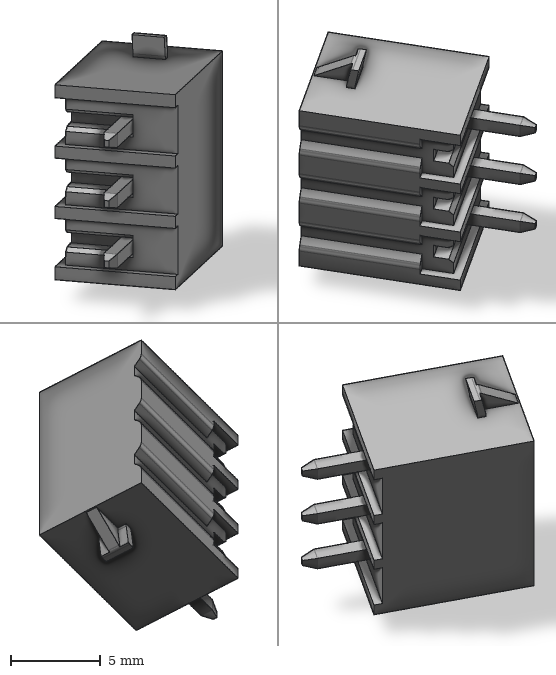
import cadquery as cq
import math


body_width = 7.0
body_depth = 9.23
body_height = 11.31
pin_count = 3
pin_pitch = 3.5
left_face = -body_width / 2
front_face = -body_depth
bay_centres = [(i - (pin_count - 1) / 2) * pin_pitch for i in range(pin_count)]

divider_thickness = 0.7
bay_height = pin_pitch - divider_thickness
bay_depth = 0.49
bay_floor = front_face + bay_depth
corner_notch_depth = 2.31

groove_depth = 0.48
groove_floor_width = 0.69
groove_wall_angle = math.radians(42)
groove_lip_radius = 0.5

pin_width = 0.77
pin_height = 0.81
pin_right_side = 0.9
pin_tip_y = -12.6
pin_taper_length = 0.8
pin_tip_width = 0.27
pin_tip_height = 0.39
pin_x = pin_right_side - pin_width / 2
slot_height = 0.84
slot_floor = front_face + 1.64
slot_chamfer_height = 0.22
slot_chamfer_depth = 0.28

overall_height = 14.0
latch_height = (overall_height - body_height) / 2
latch_wall_width = 1.88
latch_wall_thickness = 0.48
latch_wall_back = -2.11
latch_wall_lean = 0.21
latch_upright_height = 0.18
ramp_width = 0.73
ramp_start = -0.1
ramp_crest_radius = 0.46


def box_between(x_range, y_range, z_range):
    """Box spanning the given (low, high) ranges."""
    size = [high - low for low, high in (x_range, y_range, z_range)]
    corner = (x_range[0], y_range[0], z_range[0])
    return cq.Workplane("XY").box(*size, centered=False).translate(corner)


def side_profile(points, width):
    """Extrude an outline of (y, z) points symmetrically about X = 0."""
    return cq.Workplane("YZ").polyline(points).close().extrude(width / 2, both=True)


def groove(z):
    """Full-depth groove in the left face, with sloped walls and rounded lips."""
    arc_drop = groove_lip_radius * (1 - math.cos(groove_wall_angle))
    arc_rise = groove_lip_radius * math.sin(groove_wall_angle)
    floor_half = groove_floor_width / 2
    wall_half = floor_half + (groove_depth - arc_drop) / math.tan(groove_wall_angle)
    mouth_half = wall_half + arc_rise
    mid_drop = groove_lip_radius * (1 - math.cos(groove_wall_angle / 2))
    mid_half = mouth_half - groove_lip_radius * math.sin(groove_wall_angle / 2)
    floor_x = left_face + groove_depth
    lip_x = left_face + arc_drop
    mid_x = left_face + mid_drop
    return (
        cq.Workplane("XZ")
        .moveTo(left_face, z - mouth_half)
        .threePointArc((mid_x, z - mid_half), (lip_x, z - wall_half))
        .lineTo(floor_x, z - floor_half)
        .lineTo(floor_x, z + floor_half)
        .lineTo(lip_x, z + wall_half)
        .threePointArc((mid_x, z + mid_half), (left_face, z + mouth_half))
        .close()
        .extrude(body_depth)
    )


def bay(z):
    """Front recess and the deeper notch at its left corner."""
    z_range = (z - bay_height / 2, z + bay_height / 2)
    recess = box_between((left_face, -left_face), (front_face, bay_floor), z_range)
    notch = box_between(
        (left_face, left_face + groove_depth),
        (front_face, front_face + corner_notch_depth),
        z_range,
    )
    return recess.union(notch)


def slot(z):
    """Pin slot open to the left, chamfered above and below at its mouth."""
    half = slot_height / 2
    mouth_half = half + slot_chamfer_height
    chamfer_end = bay_floor + slot_chamfer_depth
    points = [
        (bay_floor, z - mouth_half),
        (chamfer_end, z - half),
        (slot_floor, z - half),
        (slot_floor, z + half),
        (chamfer_end, z + half),
        (bay_floor, z + mouth_half),
    ]
    length = pin_right_side - left_face
    return cq.Workplane("YZ", origin=(left_face, 0, 0)).polyline(points).close().extrude(length)


def pin(z):
    """Rectangular pin standing on the slot floor, with a tapered tip."""
    taper_start = pin_tip_y + pin_taper_length
    shank = (
        cq.Workplane("XZ", origin=(pin_x, slot_floor, z))
        .rect(pin_width, pin_height)
        .extrude(slot_floor - taper_start)
    )
    tip = (
        cq.Workplane("XZ", origin=(pin_x, taper_start, z))
        .rect(pin_width, pin_height)
        .workplane(offset=pin_taper_length)
        .rect(pin_tip_width, pin_tip_height)
        .loft(ruled=True)
    )
    return shank.union(tip)


def top_latch():
    """Leaning wall on the top face, backed by a narrow ramp with a rounded crest."""
    base = body_height / 2
    crest = base + latch_height
    upright_top = base + latch_upright_height
    wall_front = latch_wall_back - latch_wall_thickness
    top_back = latch_wall_back - latch_wall_lean
    top_front = wall_front - latch_wall_lean

    envelope = side_profile(
        [
            (ramp_start, base),
            (top_back, crest),
            (top_front, crest),
            (wall_front, upright_top),
            (wall_front, base),
        ],
        latch_wall_width,
    )
    crest_edge = cq.selectors.NearestToPointSelector((0, top_back, crest))
    envelope = envelope.edges("|X").edges(crest_edge).fillet(ramp_crest_radius)

    wall = side_profile(
        [
            (latch_wall_back, base),
            (latch_wall_back, upright_top),
            (top_back, crest),
            (top_front, crest),
            (wall_front, upright_top),
            (wall_front, base),
        ],
        latch_wall_width,
    )
    ramp = box_between((-ramp_width / 2, ramp_width / 2), (top_front, ramp_start), (base, crest))
    return envelope.intersect(wall.union(ramp))


housing = box_between(
    (left_face, -left_face),
    (front_face, 0),
    (-body_height / 2, body_height / 2),
)
for bay_z in bay_centres:
    housing = housing.cut(groove(bay_z)).cut(bay(bay_z)).cut(slot(bay_z))
for bay_z in bay_centres:
    housing = housing.union(pin(bay_z))

latch = top_latch()
result = housing.union(latch).union(latch.mirror("XY"))